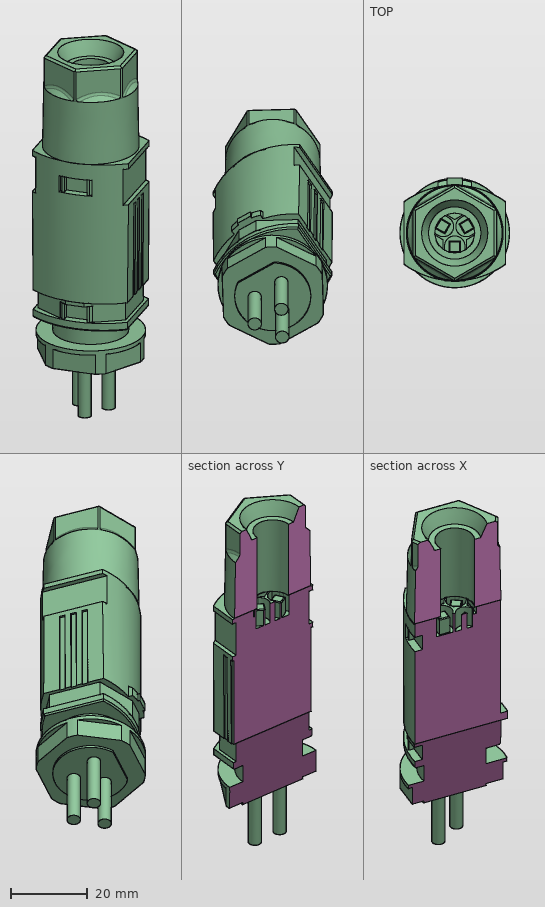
import cadquery as cq
import math

WIRE_END = 0.0
DISC_BOTTOM = 15.1
HEX_BOTTOM = 15.75
HEX_TOP = 21.2
NUT_FLANGE_TOP = 22.4
COLLAR_BOTTOM = 27.3
COLLAR_TOP = 29.6
HOUSING_BOTTOM = 35.1
RECESS_BOTTOM = 62.8
RECESS_TOP = 72.9
HOUSING_TOP = 74.4
GLAND_SHOULDER = 91.8
GLAND_CONE_TOP = 93.5
OVERALL_HEIGHT = 100.75

FLAT_HALF = 13.25
FLAT_HALF_LOW = 13.0
FLAT_EDGE_Y = 8.1
CROWN_Y = 12.43
RECESS_HALF = 12.05

GROOVE_COUNT = 3
GROOVE_PITCH = 3.1
GROOVE_WIDTH = 1.5
GROOVE_DEPTH = 0.5
GROOVE_TOP = 61.3

WINDOW_HALF = 4.5
WINDOW_HEIGHT = 4.5
HOUSING_WINDOW_BOTTOM = 65.5
POST_OUTER = 3.75
POST_INNER = 3.15
POST_TOP_Y = -11.7
POST_ROOT_Y = -10.8
WINDOW_FLOOR_Y = -10.2

LATCH_RADIUS = 13.9
LATCH_HALF = 4.4
LATCH_RAMP_TOP = 39.2
LATCH_RAMP_BOTTOM = 37.8
TAB_HALF = 2.0
TAB_REACH = 14.3
TAB_TOP = 37.6
LATCH_ROOT_Y = 10.0

CONTACT_COUNT = 3
CONTACT_RADIUS = 3.4
SOCKET_HALF = 2.65
SOCKET_REACH = 6.0
SOCKET_DEPTH = 6.0
CONTACT_POST = 3.0
CONTACT_POST_CHAMFER = 0.25
CONTACT_POST_RADIUS = 3.6
CONTACT_POST_DROP = 1.0
RELIEF_VERTEX = 3.5
RELIEF_LENGTH = 1.8
RELIEF_OPENING = 120.0
RELIEF_DEPTH = 2.0

GLAND_RADIUS_LOW = 12.6
GLAND_RADIUS_HIGH = 12.3
GLAND_APOTHEM = 10.8
GLAND_EDGE_CHAMFER = 0.6
GLAND_FLATS = 6
GLAND_FACE_FILLET = 1.2
ENTRY_RADIUS = 8.6
ENTRY_FLOOR_RADIUS = 6.8
ENTRY_DEPTH = 4.0
BORE_RADIUS = 5.15

BASE_HEX_APOTHEM = RECESS_HALF
COLLAR_CHAMFER = 0.4
NECK_RADIUS = 9.9
NECK_FLAT_Y = 8.2
MOUNT_RADIUS = 14.25
MOUNT_HEX_APOTHEM = 13.0
WIRE_RADIUS = 1.75
WIRE_CIRCLE = 4.7

SPAN = 40.0


def disc(radius, bottom, top):
    return cq.Workplane("XY").workplane(offset=bottom).circle(radius).extrude(top - bottom)


def block(x_min, x_max, y_min, y_max, z_min, z_max):
    size = (x_max - x_min, y_max - y_min, z_max - z_min)
    return cq.Workplane("XY").box(*size, centered=False).translate((x_min, y_min, z_min))


def hexagon(apothem, bottom, top, turn):
    """Hexagonal prism; turn 0 gives corners on X, turn 30 gives corners on Y."""
    across_corners = 2 * apothem / math.cos(math.radians(30))
    prism = cq.Workplane("XY").workplane(offset=bottom).polygon(6, across_corners).extrude(top - bottom)
    return prism.rotate((0, 0, 0), (0, 0, 1), turn)


ARC_SAG = CROWN_Y - FLAT_EDGE_Y
ARC_RADIUS = (FLAT_HALF ** 2 + ARC_SAG ** 2) / (2 * ARC_SAG)


def barrel(flat_half, bottom, top):
    """Prism between two X flats, closed by the two barrel arcs."""
    edge_y = CROWN_Y - ARC_RADIUS + math.sqrt(ARC_RADIUS ** 2 - flat_half ** 2)
    return (
        cq.Workplane("XY").workplane(offset=bottom)
        .moveTo(-flat_half, -edge_y)
        .threePointArc((0, -CROWN_Y), (flat_half, -edge_y))
        .lineTo(flat_half, edge_y)
        .threePointArc((0, CROWN_Y), (-flat_half, edge_y))
        .close()
        .extrude(top - bottom)
    )


def latch_window(bottom):
    """Cutter for a window whose two sides keep a sloped post standing in it."""
    outside_y = -SPAN / 2
    return (
        cq.Workplane("XY").workplane(offset=bottom)
        .polyline([
            (-WINDOW_HALF, outside_y),
            (-WINDOW_HALF, POST_ROOT_Y),
            (-POST_OUTER, POST_TOP_Y),
            (-POST_INNER, POST_TOP_Y),
            (-POST_INNER, WINDOW_FLOOR_Y),
            (POST_INNER, WINDOW_FLOOR_Y),
            (POST_INNER, POST_TOP_Y),
            (POST_OUTER, POST_TOP_Y),
            (WINDOW_HALF, POST_ROOT_Y),
            (WINDOW_HALF, outside_y),
        ])
        .close()
        .extrude(WINDOW_HEIGHT)
    )


def side_profile():
    """Slab with the X-Z silhouette of the housing: tapered flats and recesses."""
    right_side = [
        (FLAT_HALF_LOW, HOUSING_BOTTOM),
        (FLAT_HALF, RECESS_BOTTOM),
        (RECESS_HALF, RECESS_BOTTOM),
        (RECESS_HALF, RECESS_TOP),
        (FLAT_HALF, RECESS_TOP),
        (FLAT_HALF, HOUSING_TOP),
    ]
    left_side = [(-x, z) for x, z in reversed(right_side)]
    outline = right_side + left_side
    return cq.Workplane("XZ").polyline(outline).close().extrude(SPAN / 2, both=True)


def grooves():
    """Vertical grooves in both flats, open at the bottom edge."""
    cutters = cq.Workplane("XY")
    inner_x = FLAT_HALF - GROOVE_DEPTH
    for index in range(GROOVE_COUNT):
        y_min = (index - (GROOVE_COUNT - 1) / 2) * GROOVE_PITCH - GROOVE_WIDTH / 2
        y_max = y_min + GROOVE_WIDTH
        cutters = cutters.add(block(-SPAN, -inner_x, y_min, y_max, HOUSING_BOTTOM, GROOVE_TOP))
        cutters = cutters.add(block(inner_x, SPAN, y_min, y_max, HOUSING_BOTTOM, GROOVE_TOP))
    return cutters.combine()


def latch():
    """Ramped ring sector with a flat-topped release tab in its middle."""
    ring = (
        cq.Workplane("XZ")
        .polyline([
            (LATCH_ROOT_Y, HOUSING_BOTTOM),
            (LATCH_RADIUS, HOUSING_BOTTOM),
            (LATCH_RADIUS, LATCH_RAMP_BOTTOM),
            (CROWN_Y, LATCH_RAMP_TOP),
            (LATCH_ROOT_Y, LATCH_RAMP_TOP),
        ])
        .close()
        .revolve(360, (0, 0, 0), (0, 1, 0))
    )
    sector = ring.intersect(
        block(-LATCH_HALF, LATCH_HALF, LATCH_ROOT_Y, SPAN, HOUSING_BOTTOM, LATCH_RAMP_TOP)
    )
    above_tab = block(-TAB_HALF, TAB_HALF, LATCH_ROOT_Y, SPAN, TAB_TOP, LATCH_RAMP_TOP)
    tab = block(-TAB_HALF, TAB_HALF, LATCH_ROOT_Y, TAB_REACH, HOUSING_BOTTOM, TAB_TOP)
    return sector.cut(above_tab).union(tab)


def contact_socket():
    """Cutter for the socket on -Y: an arched pocket around a square contact post."""
    floor = HOUSING_TOP - SOCKET_DEPTH
    arch = disc(SOCKET_HALF, floor, HOUSING_TOP).translate((0, -CONTACT_RADIUS, 0))
    slot = block(-SOCKET_HALF, SOCKET_HALF, -SOCKET_REACH, -CONTACT_RADIUS, floor, HOUSING_TOP)
    half = CONTACT_POST / 2
    post = block(
        -half, half, -CONTACT_POST_RADIUS - half, -CONTACT_POST_RADIUS + half,
        floor, HOUSING_TOP - CONTACT_POST_DROP,
    ).faces(">Z").chamfer(CONTACT_POST_CHAMFER)
    return arch.union(slot).cut(post)


def relief_pocket():
    """Cutter for the triangular pocket on +Y, between two sockets."""
    half_width = RELIEF_LENGTH * math.tan(math.radians(RELIEF_OPENING / 2))
    outer = RELIEF_VERTEX + RELIEF_LENGTH
    return (
        cq.Workplane("XY").workplane(offset=HOUSING_TOP - RELIEF_DEPTH)
        .polyline([(0, RELIEF_VERTEX), (half_width, outer), (-half_width, outer)])
        .close()
        .extrude(RELIEF_DEPTH)
    )


def make_housing():
    body = barrel(FLAT_HALF, HOUSING_BOTTOM, HOUSING_TOP).intersect(side_profile())
    body = body.cut(grooves()).cut(latch_window(HOUSING_WINDOW_BOTTOM)).union(latch())
    for index in range(CONTACT_COUNT):
        turn = index * 360 / CONTACT_COUNT
        body = body.cut(contact_socket().rotate((0, 0, 0), (0, 0, 1), turn))
        body = body.cut(relief_pocket().rotate((0, 0, 0), (0, 0, 1), turn))
    return body


def wrench_flat():
    """Cutter for the +X face of the nut, blended into the conical shoulder below it."""
    cone_width = GLAND_RADIUS_HIGH - GLAND_APOTHEM
    cone_height = GLAND_CONE_TOP - GLAND_SHOULDER
    run_out = GLAND_RADIUS_HIGH + 2 * cone_width
    run_out_z = GLAND_SHOULDER - 2 * cone_height
    shoulder = (
        cq.Workplane("XZ")
        .polyline([
            (0, run_out_z),
            (run_out, run_out_z),
            (GLAND_APOTHEM, GLAND_CONE_TOP),
            (0, GLAND_CONE_TOP),
        ])
        .close()
        .revolve(360, (0, 0, 0), (0, 1, 0))
    )
    half_width = run_out * math.sin(math.radians(180 / GLAND_FLATS))
    outside = block(
        GLAND_APOTHEM, run_out, -half_width, half_width, GLAND_SHOULDER - cone_height, OVERALL_HEIGHT
    )
    cutter = outside.cut(shoulder)
    return cutter.edges("%HYPERBOLA").edges("<X").fillet(GLAND_FACE_FILLET)


def make_gland_nut():
    body = (
        cq.Workplane("XZ")
        .polyline([
            (0, HOUSING_TOP),
            (GLAND_RADIUS_LOW, HOUSING_TOP),
            (GLAND_RADIUS_HIGH, GLAND_SHOULDER),
            (GLAND_RADIUS_HIGH, OVERALL_HEIGHT),
            (0, OVERALL_HEIGHT),
        ])
        .close()
        .revolve(360, (0, 0, 0), (0, 1, 0))
    )
    for index in range(GLAND_FLATS):
        body = body.cut(wrench_flat().rotate((0, 0, 0), (0, 0, 1), index * 360 / GLAND_FLATS))
    rim = hexagon(GLAND_APOTHEM, HOUSING_TOP, OVERALL_HEIGHT, 30)
    rim = rim.faces(">Z").chamfer(GLAND_EDGE_CHAMFER)
    top_slice = disc(SPAN, OVERALL_HEIGHT - GLAND_EDGE_CHAMFER, OVERALL_HEIGHT)
    body = body.cut(top_slice.cut(rim))
    entry = cq.Workplane("XY").add(
        cq.Solid.makeCone(
            ENTRY_FLOOR_RADIUS, ENTRY_RADIUS, ENTRY_DEPTH,
            cq.Vector(0, 0, OVERALL_HEIGHT - ENTRY_DEPTH),
        )
    )
    bore = disc(BORE_RADIUS, HOUSING_TOP, OVERALL_HEIGHT)
    return body.cut(entry).cut(bore)


def make_base():
    plug = hexagon(BASE_HEX_APOTHEM, COLLAR_TOP, HOUSING_BOTTOM, 30)
    plug = plug.intersect(block(-SPAN, SPAN, -CROWN_Y, CROWN_Y, COLLAR_TOP, HOUSING_BOTTOM))
    plug = plug.cut(latch_window(COLLAR_TOP))
    collar = barrel(FLAT_HALF_LOW, COLLAR_BOTTOM, COLLAR_TOP).faces("<Z").chamfer(COLLAR_CHAMFER)
    neck = disc(NECK_RADIUS, DISC_BOTTOM, COLLAR_BOTTOM)
    neck = neck.cut(block(-SPAN, SPAN, NECK_FLAT_Y, SPAN, DISC_BOTTOM, COLLAR_BOTTOM))
    flange = disc(MOUNT_RADIUS, HEX_TOP, NUT_FLANGE_TOP)
    mount = hexagon(MOUNT_HEX_APOTHEM, HEX_BOTTOM, HEX_TOP, 0)
    mount = mount.intersect(disc(MOUNT_RADIUS, HEX_BOTTOM, HEX_TOP))
    body = plug.union(collar).union(neck).union(flange).union(mount)
    for index in range(CONTACT_COUNT):
        wire = disc(WIRE_RADIUS, WIRE_END, DISC_BOTTOM).translate((0, -WIRE_CIRCLE, 0))
        body = body.union(wire.rotate((0, 0, 0), (0, 0, 1), index * 360 / CONTACT_COUNT))
    return body


gland_nut = make_gland_nut()
housing = make_housing()
base = make_base()

result = cq.Compound.makeCompound([body.solids().val() for body in (gland_nut, housing, base)])